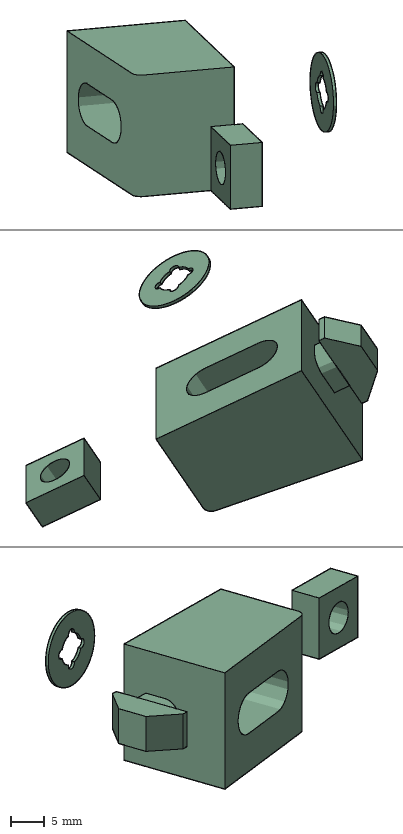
import cadquery as cq
import math


block_length = 25.0
block_height = 19.0
block_depth = 18.5
taper_angle = 7.0
corner_radius = 1.5

slot_center_x = 11.95
slot_spacing = 9.0
slot_width = 6.6

lug_center_y = -7.0
head_width = 13.0
head_height = 5.7
head_thickness = 5.0
head_chamfer = 4.0
neck_length = 2.7
neck_width = 6.0
neck_height = 5.0
neck_radius = neck_height / 2

washer_diameter = 12.0
washer_thickness = 0.5
washer_center_x = 11.5
washer_back_y = 18.3
washer_bore = 5.0
notch_radius = 0.75
notch_count = 4

nut_size = 10.0
nut_thickness = 5.0
nut_bore = 5.0
nut_right_x = 49.07
nut_back_y = -3.0


def along_y(back_y):
    """Workplane facing the front (-Y) with its origin at the given back face."""
    return cq.Workplane("XZ", origin=(0, back_y, 0))


def make_block():
    """Wedge-shaped block with its shallow front corner rounded."""
    shallow_depth = block_depth - block_length * math.tan(math.radians(taper_angle))
    outline = [
        (0, 0),
        (block_length, 0),
        (block_length, -shallow_depth),
        (0, -block_depth),
    ]
    block = (
        cq.Workplane("XY")
        .workplane(offset=-block_height / 2)
        .polyline(outline)
        .close()
        .extrude(block_height)
    )
    return block.edges("|Z").edges(">X").edges("<Y").fillet(corner_radius)


def make_slot():
    """Cutter for the round-ended slot, as deep as the block."""
    return (
        along_y(0)
        .center(slot_center_x, 0)
        .slot2D(slot_spacing + slot_width, slot_width)
        .extrude(block_depth)
    )


def make_neck():
    """Neck with two opposite corners rounded, so the lug can turn a quarter in a groove."""
    neck = cq.Workplane("XY").box(neck_length, neck_width, neck_height)
    upper_front = neck.edges("|X").edges("<Y").edges(">Z").vals()
    lower_back = neck.edges("|X").edges(">Y").edges("<Z").vals()
    neck = neck.newObject(upper_front + lower_back).fillet(neck_radius)
    return neck.translate((-neck_length / 2, lug_center_y, 0))


def make_head():
    """Hammer head with both outer corners cut at 45 degrees."""
    head = (
        cq.Workplane("XY")
        .box(head_thickness, head_width, head_height)
        .edges("|Z and <X")
        .chamfer(head_chamfer)
    )
    return head.translate((-neck_length - head_thickness / 2, lug_center_y, 0))


def make_housing():
    """Slotted block with its lug."""
    return make_block().cut(make_slot()).union(make_neck()).union(make_head())


def make_washer():
    """Thin disc whose bore has notches spaced evenly around it."""
    disc = (
        along_y(washer_back_y)
        .circle(washer_diameter / 2)
        .circle(washer_bore / 2)
        .extrude(washer_thickness)
    )
    notches = (
        along_y(washer_back_y)
        .polarArray(washer_bore / 2, 0, 360, notch_count)
        .circle(notch_radius)
        .extrude(washer_thickness)
    )
    return disc.cut(notches).translate((washer_center_x, 0, 0))


def make_nut():
    """Square nut with a plain bore."""
    return (
        along_y(nut_back_y)
        .center(nut_right_x - nut_size / 2, 0)
        .rect(nut_size, nut_size)
        .circle(nut_bore / 2)
        .extrude(nut_thickness)
    )


housing = make_housing()
washer = make_washer()
nut = make_nut()

result = cq.Compound.makeCompound([housing.val(), washer.val(), nut.val()])